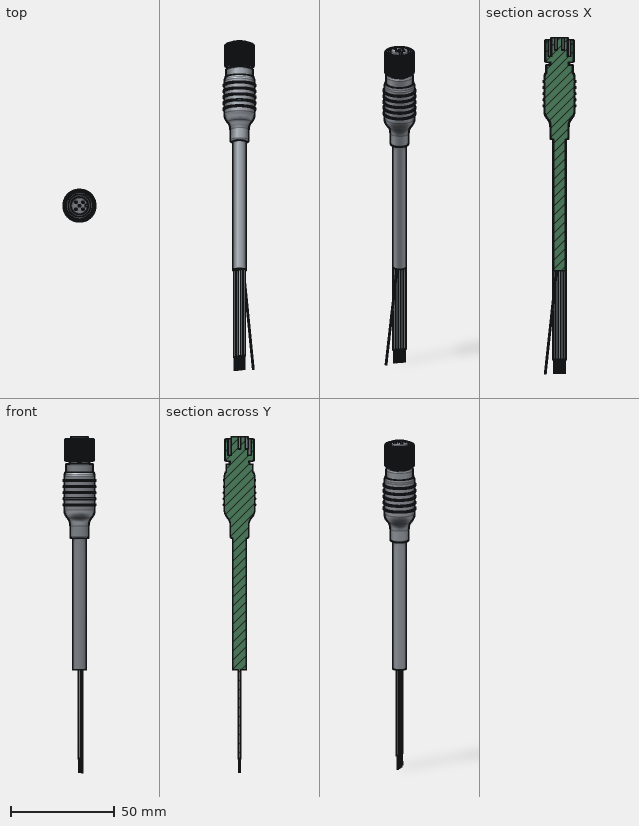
import cadquery as cq
import math


NUT_TOP = -1.0
NUT_BOTTOM = -12.0
COLLAR_TOP = -13.2
BODY_TOP = -17.3
SHOULDER_BOTTOM = -18.4
BARREL_TOP = -19.3
BARREL_BOTTOM = -35.4
FLARE_MIDDLE = -39.4
SLEEVE_TOP = -43.2
SLEEVE_BOTTOM = -49.4
CABLE_END = -113.1
INSULATION_END = -156.0
STRAND_END = -162.7
TOTAL_LENGTH = 162.89

INSERT_RADIUS = 4.2
INSERT_ROUND = 0.5
CONTACT_PITCH_RADIUS = 2.4
CONTACT_HOLE_DIAMETER = 1.0
CONTACT_HOLE_DEPTH = 6.0
KEYWAY_WIDTH = 1.2
KEYWAY_DEPTH = 1.3
KEYWAY_LENGTH = 6.0

NUT_RADIUS = 7.1
NUT_BORE_RADIUS = 5.5
NUT_BORE_DEPTH = 8.0
NUT_CHAMFER = 0.6
KNURL_COUNT = 72
KNURL_DEPTH = 0.3

NECK_RADIUS = 4.6
MARK_WIDTH = 1.6
MARK_HEIGHT = 0.8
MARK_PROJECTION = 0.3

COLLAR_RADIUS = 6.6
COLLAR_ROUND = 0.6
SHOULDER_TOP_RADIUS = 6.9
SHOULDER_BOTTOM_RADIUS = 7.3
BARREL_RADIUS = 7.5
FLARE_RADIUS = 5.9
SLEEVE_RADIUS = 4.6
SLEEVE_ROUND = 1.1

RIB_RADIUS = 15.77 / 2
RIB_COUNT = 5
RIB_WIDTH = 2 * (RIB_RADIUS - BARREL_RADIUS)
RIB_PITCH = 2.95
FIRST_RIB = -21.3

CABLE_RADIUS = 3.35
LEAD_COUNT = 5
LEAD_PITCH = 1.3
LEAD_DIAMETER = 1.25
STRAND_DIAMETER = 0.5
DRAIN_DIAMETER = 0.6
DRAIN_X = 1.3
DRAIN_START_Y = -1.5
DRAIN_END_Y = -6.9

OVERLAP = 1.0


def cylinder(radius, top, bottom, y=0):
    """Upright cylinder between two levels."""
    return cq.Workplane("XY", origin=(0, y, bottom)).circle(radius).extrude(top - bottom)


def make_nut():
    """Coupling nut with V-shaped axial knurling and a bore around the insert."""
    outline = []
    for i in range(2 * KNURL_COUNT):
        radius = NUT_RADIUS - KNURL_DEPTH * (i % 2)
        angle = math.pi * i / KNURL_COUNT
        outline.append((radius * math.cos(angle), radius * math.sin(angle)))
    height = NUT_TOP - NUT_BOTTOM
    teeth = cq.Workplane("XY", origin=(0, 0, NUT_BOTTOM)).polyline(outline).close().extrude(height)
    envelope = cylinder(NUT_RADIUS, NUT_TOP, NUT_BOTTOM).edges().chamfer(NUT_CHAMFER)
    bore = cylinder(NUT_BORE_RADIUS, NUT_TOP, NUT_TOP - NUT_BORE_DEPTH)
    return teeth.intersect(envelope).cut(bore)


def make_insert():
    """Five-pole contact insert with a keyway on +X, continuing down to the nut floor."""
    insert = cylinder(INSERT_RADIUS, 0, NUT_BOTTOM)
    insert = insert.faces(">Z").edges().fillet(INSERT_ROUND)
    side = CONTACT_PITCH_RADIUS * math.sqrt(2)
    contacts = (
        cq.Workplane("XY")
        .rect(side, side, forConstruction=True)
        .vertices()
        .circle(CONTACT_HOLE_DIAMETER / 2)
        .extrude(-CONTACT_HOLE_DEPTH)
    )
    centre_contact = cylinder(CONTACT_HOLE_DIAMETER / 2, 0, -CONTACT_HOLE_DEPTH)
    keyway = cq.Workplane("XY", origin=(INSERT_RADIUS, 0, 0)).box(
        2 * KEYWAY_DEPTH, KEYWAY_WIDTH, 2 * KEYWAY_LENGTH
    )
    return insert.cut(contacts).cut(centre_contact).cut(keyway)


def make_neck():
    """Neck below the nut with a raised mark on each of its four sides."""
    neck = cylinder(NECK_RADIUS, NUT_BOTTOM, COLLAR_TOP)
    span = 2 * (NECK_RADIUS + MARK_PROJECTION)
    level = COLLAR_TOP + MARK_HEIGHT / 2
    along_x = cq.Workplane("XY", origin=(0, 0, level)).box(span, MARK_WIDTH, MARK_HEIGHT)
    along_y = cq.Workplane("XY", origin=(0, 0, level)).box(MARK_WIDTH, span, MARK_HEIGHT)
    return neck.union(along_x).union(along_y)


def make_body():
    """Collar, barrel, S-shaped flare and cable sleeve as one turned profile."""
    body = (
        cq.Workplane("XZ")
        .moveTo(0, COLLAR_TOP)
        .lineTo(COLLAR_RADIUS - COLLAR_ROUND, COLLAR_TOP)
        .tangentArcPoint((COLLAR_RADIUS, COLLAR_TOP - COLLAR_ROUND), relative=False)
        .lineTo(COLLAR_RADIUS, BODY_TOP)
        .lineTo(SHOULDER_TOP_RADIUS, BODY_TOP)
        .lineTo(SHOULDER_BOTTOM_RADIUS, SHOULDER_BOTTOM)
        .lineTo(BARREL_RADIUS, BARREL_TOP)
        .lineTo(BARREL_RADIUS, BARREL_BOTTOM)
        .tangentArcPoint((FLARE_RADIUS, FLARE_MIDDLE), relative=False)
        .spline([(SLEEVE_RADIUS, SLEEVE_TOP)], tangents=[(-1, -1), (0, -1)], includeCurrent=True)
        .lineTo(SLEEVE_RADIUS, SLEEVE_BOTTOM + SLEEVE_ROUND)
        .tangentArcPoint((SLEEVE_RADIUS - SLEEVE_ROUND, SLEEVE_BOTTOM), relative=False)
        .lineTo(0, SLEEVE_BOTTOM)
        .close()
        .revolve(360, (0, 0, 0), (0, 1, 0))
    )
    for i in range(RIB_COUNT):
        body = body.union(make_rib(FIRST_RIB - i * RIB_PITCH))
    return body


def make_rib(level):
    """Half-round ring, centred on the given level."""
    half = RIB_WIDTH / 2
    return (
        cq.Workplane("XZ")
        .moveTo(0, level - half)
        .lineTo(BARREL_RADIUS, level - half)
        .threePointArc((RIB_RADIUS, level), (BARREL_RADIUS, level + half))
        .lineTo(0, level + half)
        .close()
        .revolve(360, (0, 0, 0), (0, 1, 0))
    )


def make_cable():
    """Cable jacket and a flat row of insulated leads along Y, each with a bare strand at its end."""
    cable = cylinder(CABLE_RADIUS, SLEEVE_BOTTOM, CABLE_END)
    for i in range(LEAD_COUNT):
        y = (i - (LEAD_COUNT - 1) / 2) * LEAD_PITCH
        cable = cable.union(cylinder(LEAD_DIAMETER / 2, CABLE_END + OVERLAP, INSULATION_END, y=y))
        cable = cable.union(cylinder(STRAND_DIAMETER / 2, INSULATION_END + OVERLAP, STRAND_END, y=y))
    return cable


def make_drain_wire():
    """Bare drain wire leaning from the cable end towards -Y."""
    start = cq.Vector(DRAIN_X, DRAIN_START_Y, CABLE_END)
    lean = math.atan2(DRAIN_START_Y - DRAIN_END_Y, TOTAL_LENGTH + CABLE_END)
    radius = DRAIN_DIAMETER / 2
    drop = TOTAL_LENGTH + CABLE_END - radius * math.sin(lean)
    direction = cq.Vector(0, -math.sin(lean), -math.cos(lean))
    root = start - direction * OVERLAP
    length = drop / math.cos(lean) + OVERLAP
    return cq.Workplane(cq.Solid.makeCylinder(radius, length, root, direction))


result = (
    make_body()
    .union(make_neck())
    .union(make_nut())
    .union(make_insert())
    .union(make_cable())
    .union(make_drain_wire())
)